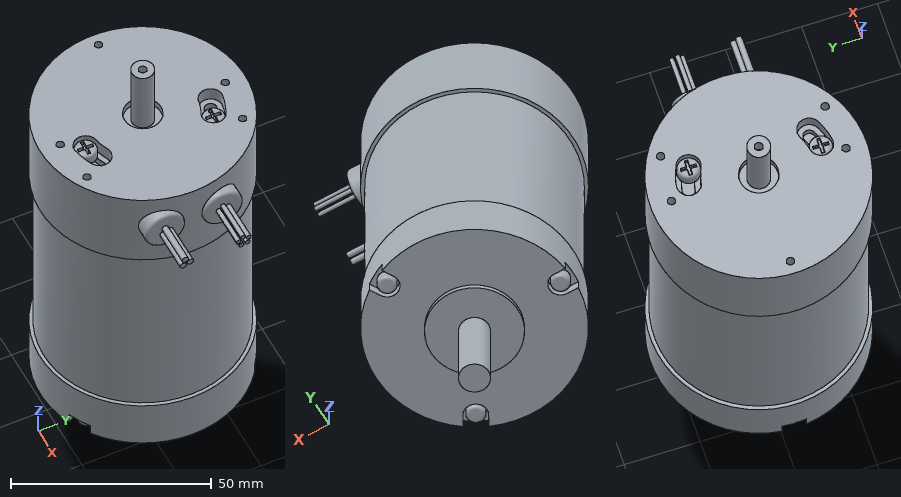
import cadquery as cq
import math

TOTAL_LENGTH = 136.0
FRONT_SHAFT_LENGTH = 23.5
PILOT_HEIGHT = 1.5
FRONT_CAP_HEIGHT = 14.4
BODY_HEIGHT = 56.6
REAR_CAP_HEIGHT = 23.0

CAP_DIAMETER = 57.0
BODY_DIAMETER = 55.0
PILOT_DIAMETER = 25.0
FRONT_SHAFT_DIAMETER = 8.0
REAR_SHAFT_DIAMETER = 6.0

PILOT_Z = FRONT_SHAFT_LENGTH
FRONT_CAP_Z = PILOT_Z + PILOT_HEIGHT
BODY_Z = FRONT_CAP_Z + FRONT_CAP_HEIGHT
REAR_CAP_Z = BODY_Z + BODY_HEIGHT
REAR_FACE_Z = REAR_CAP_Z + REAR_CAP_HEIGHT

SHAFT_CLEARANCE_DIAMETER = 10.0
SHAFT_CLEARANCE_DEPTH = 2.0
REAR_SHAFT_Z = REAR_FACE_Z - SHAFT_CLEARANCE_DEPTH
CENTRE_HOLE_DIAMETER = 2.2
CENTRE_HOLE_DEPTH = 4.1
TAPPED_HOLE_DIAMETER = 2.0
TAPPED_HOLE_DEPTH = 5.5
CASE_BOLT_RADIUS = 25.0
CASE_BOLT_ANGLES = (60, 180, 300)
ENCODER_HOLE_RADIUS = 23.0
ENCODER_HOLE_ANGLES = (90, 270)

SLOT_PATH_RADIUS = 17.7
SLOT_CENTRE_ANGLES = (72, -72)
SLOT_HALF_SWEEP = 8.0
SLOT_WIDTH = 6.3
SLOT_DEPTH = 4.0
LEDGE_Z = REAR_FACE_Z - SLOT_DEPTH
INNER_SLOT_WIDTH = 3.3
INNER_SLOT_DEPTH = 2.0
SCREW_HEAD_DIAMETER = 6.0
SCREW_HEAD_HEIGHT = 3.0
SCREW_HEAD_FILLET = 1.0
CROSS_LENGTH = SCREW_HEAD_DIAMETER - 2 * SCREW_HEAD_FILLET
CROSS_WIDTH = 0.8
CROSS_DEPTH = 1.1

NOTCH_WIDTH = 6.4
NOTCH_HEIGHT = 3.0
BOLT_HEAD_DIAMETER = 5.0
BOLT_HEAD_FILLET = 0.8

GROMMET_DIAMETER = 11.0
GROMMET_FILLET = 1.0
GROMMET_OFFSET = 8.0
GROMMET_DROP = 9.9
GROMMET_Z = REAR_FACE_Z - GROMMET_DROP
GROMMET_START_X = 20.4
GROMMET_END_X = 29.5
REAR_CAP_TO_WIRE_END = 12.5
WIRE_END_X = CAP_DIAMETER / 2 + REAR_CAP_TO_WIRE_END
PHASE_WIRE_DIAMETER = 1.8
PHASE_WIRE_COUNT = 3
PHASE_RING_RADIUS = 1.15
PHASE_WIRE_TURN = 104.0
SENSOR_WIRE_DIAMETER = 1.3
SENSOR_WIRE_COUNT = 5
SENSOR_RING_RADIUS = 1.5
SENSOR_WIRE_TURN = 98.0


def cylinder(diameter, z, height, x=0.0, y=0.0):
    return cq.Workplane("XY", origin=(x, y, z)).circle(diameter / 2).extrude(height)


def cylinder_along_x(diameter, start_x, end_x, y, z):
    return cq.Workplane("YZ", origin=(start_x, y, z)).circle(diameter / 2).extrude(end_x - start_x)


def polar(radius, angle):
    turn = math.radians(angle)
    return radius * math.cos(turn), radius * math.sin(turn)


def curved_slot(centre_angle, width, top_z, depth):
    """Slot along an arc about the motor axis, with round ends, cut down from top_z."""
    start = centre_angle - SLOT_HALF_SWEEP
    end = centre_angle + SLOT_HALF_SWEEP
    inner = SLOT_PATH_RADIUS - width / 2
    outer = SLOT_PATH_RADIUS + width / 2
    sector = (
        cq.Workplane("XY", origin=(0, 0, top_z))
        .moveTo(*polar(inner, start))
        .lineTo(*polar(outer, start))
        .threePointArc(polar(outer, centre_angle), polar(outer, end))
        .lineTo(*polar(inner, end))
        .threePointArc(polar(inner, centre_angle), polar(inner, start))
        .close()
        .extrude(-depth)
    )
    for angle in (start, end):
        sector = sector.union(cylinder(width, top_z, -depth, *polar(SLOT_PATH_RADIUS, angle)))
    return sector


def slot_screw(angle):
    """Round-edged screw head with a cross recess, its shank filling the inner slot below."""
    x, y = polar(SLOT_PATH_RADIUS, angle)
    head = cylinder(SCREW_HEAD_DIAMETER, LEDGE_Z, SCREW_HEAD_HEIGHT, x, y)
    head = head.faces(">Z").edges().fillet(SCREW_HEAD_FILLET)
    top = cq.Workplane("XY", origin=(x, y, LEDGE_Z + SCREW_HEAD_HEIGHT))
    for length, width in ((CROSS_LENGTH, CROSS_WIDTH), (CROSS_WIDTH, CROSS_LENGTH)):
        head = head.cut(top.rect(length, width).extrude(-CROSS_DEPTH))
    shank = cylinder(INNER_SLOT_WIDTH, LEDGE_Z, -INNER_SLOT_DEPTH, x, y)
    return head.union(shank)


def bolt_notch(angle):
    """Round-bottomed notch in the front cap, open to its side and its lower face."""
    reach = CAP_DIAMETER / 2
    channel = (
        cq.Workplane("XY", origin=(0, 0, FRONT_CAP_Z))
        .moveTo(CASE_BOLT_RADIUS, -NOTCH_WIDTH / 2)
        .hLine(reach)
        .vLine(NOTCH_WIDTH)
        .hLine(-reach)
        .threePointArc((CASE_BOLT_RADIUS - NOTCH_WIDTH / 2, 0), (CASE_BOLT_RADIUS, -NOTCH_WIDTH / 2))
        .close()
        .extrude(NOTCH_HEIGHT)
    )
    return channel.rotate((0, 0, 0), (0, 0, 1), angle)


def bolt_head(angle):
    """Bolt head filling the notch height, rounded at its lower edge."""
    top_z = FRONT_CAP_Z + NOTCH_HEIGHT
    head = cylinder(BOLT_HEAD_DIAMETER, top_z, -NOTCH_HEIGHT, *polar(CASE_BOLT_RADIUS, angle))
    return head.faces("<Z").edges().fillet(BOLT_HEAD_FILLET)


def grommet(y, z):
    sleeve = cylinder_along_x(GROMMET_DIAMETER, GROMMET_START_X, GROMMET_END_X, y, z)
    return sleeve.faces(">X").edges().fillet(GROMMET_FILLET)


def ring(count, radius, turn, y, z):
    """Evenly spaced (Y, Z) centres around (y, z), the first at the angle `turn` from +Y."""
    offsets = [polar(radius, turn + 360 * i / count) for i in range(count)]
    return [(y + dy, z + dz) for dy, dz in offsets]


def wire(diameter, y, z):
    return cylinder_along_x(diameter, GROMMET_START_X, WIRE_END_X, y, z)


result = (
    cylinder(FRONT_SHAFT_DIAMETER, 0, FRONT_CAP_Z)
    .union(cylinder(PILOT_DIAMETER, PILOT_Z, PILOT_HEIGHT))
    .union(cylinder(CAP_DIAMETER, FRONT_CAP_Z, FRONT_CAP_HEIGHT))
    .union(cylinder(BODY_DIAMETER, BODY_Z, BODY_HEIGHT))
    .union(cylinder(CAP_DIAMETER, REAR_CAP_Z, REAR_CAP_HEIGHT))
)

for side in (1, -1):
    result = result.union(grommet(side * GROMMET_OFFSET, GROMMET_Z))
phase_centres = ring(PHASE_WIRE_COUNT, PHASE_RING_RADIUS, PHASE_WIRE_TURN, -GROMMET_OFFSET, GROMMET_Z)
for wire_y, wire_z in phase_centres:
    result = result.union(wire(PHASE_WIRE_DIAMETER, wire_y, wire_z))
sensor_centres = ring(SENSOR_WIRE_COUNT, SENSOR_RING_RADIUS, SENSOR_WIRE_TURN, GROMMET_OFFSET, GROMMET_Z)
for wire_y, wire_z in sensor_centres:
    result = result.union(wire(SENSOR_WIRE_DIAMETER, wire_y, wire_z))

result = result.cut(cylinder(SHAFT_CLEARANCE_DIAMETER, REAR_FACE_Z, -SHAFT_CLEARANCE_DEPTH))
result = result.union(cylinder(REAR_SHAFT_DIAMETER, REAR_SHAFT_Z, TOTAL_LENGTH - REAR_SHAFT_Z))
result = result.cut(cylinder(CENTRE_HOLE_DIAMETER, TOTAL_LENGTH, -CENTRE_HOLE_DEPTH))

tapped_holes = [polar(CASE_BOLT_RADIUS, angle) for angle in CASE_BOLT_ANGLES]
tapped_holes += [polar(ENCODER_HOLE_RADIUS, angle) for angle in ENCODER_HOLE_ANGLES]
for x, y in tapped_holes:
    result = result.cut(cylinder(TAPPED_HOLE_DIAMETER, REAR_FACE_Z, -TAPPED_HOLE_DEPTH, x, y))

for slot_angle in SLOT_CENTRE_ANGLES:
    result = result.cut(curved_slot(slot_angle, SLOT_WIDTH, REAR_FACE_Z, SLOT_DEPTH))
    result = result.cut(curved_slot(slot_angle, INNER_SLOT_WIDTH, LEDGE_Z, INNER_SLOT_DEPTH))
    result = result.union(slot_screw(slot_angle - SLOT_HALF_SWEEP))

for bolt_angle in CASE_BOLT_ANGLES:
    result = result.cut(bolt_notch(bolt_angle)).union(bolt_head(bolt_angle))